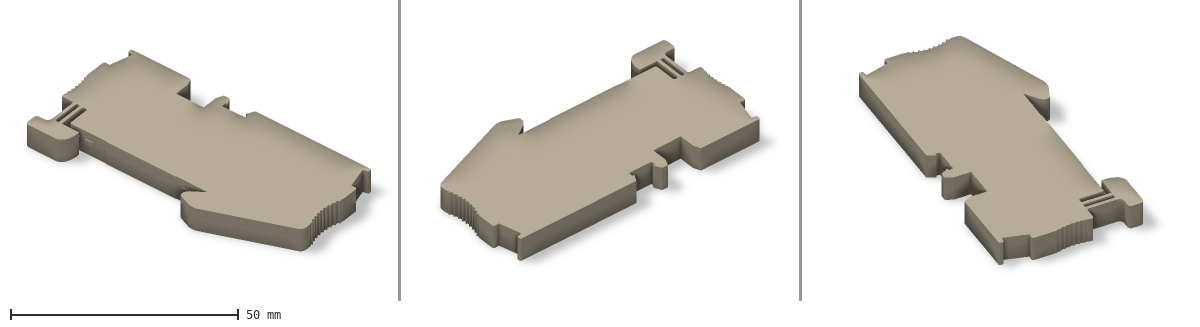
import cadquery as cq
import math

LENGTH = 71.5
HEIGHT = 35.2
THICKNESS = 6.2

LIP_INSET = 1.8
LIP_BOTTOM = 34.0
NECK_INSET = 3.2
NECK_TOP = 33.8
NECK_FOOT_INSET = 1.6
LEDGE_Y = 28.0
LEDGE_DROP = 0.2

WIDE_LEFT = 19.4
WIDE_RIGHT = 27.2
WIDE_FLOOR = 29.1
WIDE_FLARE_Y = 33.3
WIDE_FLARE = 0.8
MARKER_LEFT = 30.0
MARKER_RIGHT = 36.5
MARKER_FLOOR = 32.0
MARKER_LIP_Y = 33.2
MARKER_LIP = 0.6
MARKER_FLARE = 1.0

LEFT_GRIP_TOP = (0.0, 22.1)
LEFT_GRIP_MIDDLE = (0.8, 17.15)
LEFT_GRIP_BOTTOM = (0.3, 13.2)
LEFT_GRIP = (LEFT_GRIP_TOP, LEFT_GRIP_MIDDLE, LEFT_GRIP_BOTTOM)
RIGHT_GRIP_TOP = (LENGTH, 22.95)
RIGHT_GRIP_MIDDLE = (LENGTH - 1.3, 17.15)
RIGHT_GRIP_BOTTOM = (LENGTH, 11.45)
RIGHT_GRIP = (RIGHT_GRIP_TOP, RIGHT_GRIP_MIDDLE, RIGHT_GRIP_BOTTOM)
RIDGE_PITCH = 1.2
RIDGE_CENTRE_Y = 17.2
LEFT_RIDGE_STEPS = range(-2, 4)
RIGHT_RIDGE_STEPS = range(-4, 5)
LEFT_RIDGE_HEIGHT = 0.2
RIGHT_RIDGE_HEIGHT = 0.35
RIDGE_BASE = 0.6
RIDGE_TIP = 0.3
RIDGE_ROOT = 0.2

SHOULDER_Y = 12.5
BODY_LEFT = 7.8
BODY_BOTTOM = 6.2
PAD_LEFT = 18.0
PAD_RIGHT = 38.1
PAD_DEPTH = 0.15
PAD_SLOPE = 0.3

LEG_WIDTH = 0.85
OUTER_LEG_X = 3.8
INNER_LEG_X = 5.65
SLOT_LEFT = OUTER_LEG_X + LEG_WIDTH
INNER_LEG_RIGHT = INNER_LEG_X + LEG_WIDTH
FOOT_LEFT = 0.3
FOOT_RIGHT = 11.45
FOOT_TOP = 5.0
FOOT_HEEL_TOP = 3.85
FOOT_TOE_BEND = (10.8, 1.3)
FOOT_TOE_BULGE = (11.4, 3.0)
FOOT_TOE_BOTTOM = 9.1
FOOT_TOE_CURVE = (10.1, 0.5)

HOOK_ROOT = 46.8
HOOK_NOSE = 42.7
HOOK_NOSE_TOP = 3.0
HOOK_NOSE_BOTTOM = 1.65
HOOK_SHOULDER = (43.5, 3.9)
HOOK_BOTTOM_LEFT = 46.6
HOOK_BOTTOM_RIGHT = 48.25
SLOPE_END_Y = 8.95

CENTRE_WIDTH = 1.65
CENTRE_Z = 2.5
LEFT_PEG_START = 12.1
LEFT_PEG_END = 14.6
RIGHT_PEG_START = 39.55
RIGHT_PEG_END = 43.25
PEG_DEPTH = 0.2
PEG_STEEP = 0.15
PEG_GENTLE = 0.5
WEB_LEFT = 9.1
WEB_RIGHT = 10.9
HOOK_WEB_X = 45.2
HOOK_WEB_Y = 5.4

PICK_REACH = 0.035

LIP_TOP_RADIUS = 0.4
LIP_BOTTOM_RADIUS = 0.3
NECK_RADIUS = 0.2
LEDGE_RADIUS = 0.6
SLOPE_END_RADIUS = 1.6
HOOK_NOSE_RADIUS = 0.7
HOOK_BOTTOM_LEFT_RADIUS = 2.15
HOOK_BOTTOM_RIGHT_RADIUS = 1.15
HEEL_BOTTOM_RADIUS = 1.0
HEEL_TOP_RADIUS = 0.7
HEEL_INNER_RADIUS = 1.15
SHOULDER_RADIUS = 0.6
LEG_ROOT_RADIUS = 0.35
GAP_RADIUS = 0.5
SLOT_RADIUS = 0.2
BODY_CORNER_RADIUS = 0.35


def extrude(points, height=THICKNESS, base=0.0):
    return cq.Workplane("XY", origin=(0, 0, base)).polyline(points).close().extrude(height)


def round_corners(body, corners, radius):
    """Fillet the upright edges standing at the given corners."""
    for x, y in corners:
        low = (x - PICK_REACH, y - PICK_REACH, 0)
        high = (x + PICK_REACH, y + PICK_REACH, THICKNESS)
        box = cq.selectors.BoxSelector(low, high)
        body = body.edges("|Z").edges(box).fillet(radius)
    return body


def make_housing():
    outline = (
        cq.Workplane("XY")
        .moveTo(LIP_INSET, HEIGHT)
        .lineTo(WIDE_LEFT - WIDE_FLARE, HEIGHT)
        .lineTo(WIDE_LEFT, WIDE_FLARE_Y)
        .lineTo(WIDE_LEFT, WIDE_FLOOR)
        .lineTo(WIDE_RIGHT, WIDE_FLOOR)
        .lineTo(WIDE_RIGHT, WIDE_FLARE_Y)
        .lineTo(WIDE_RIGHT + WIDE_FLARE, HEIGHT)
        .lineTo(MARKER_LEFT + MARKER_LIP - MARKER_FLARE, HEIGHT)
        .lineTo(MARKER_LEFT + MARKER_LIP, MARKER_LIP_Y)
        .lineTo(MARKER_LEFT, MARKER_LIP_Y)
        .lineTo(MARKER_LEFT, MARKER_FLOOR)
        .lineTo(MARKER_RIGHT, MARKER_FLOOR)
        .lineTo(MARKER_RIGHT, MARKER_LIP_Y)
        .lineTo(MARKER_RIGHT - MARKER_LIP, MARKER_LIP_Y)
        .lineTo(MARKER_RIGHT - MARKER_LIP + MARKER_FLARE, HEIGHT)
        .lineTo(LENGTH - LIP_INSET, HEIGHT)
        .lineTo(LENGTH - LIP_INSET, LIP_BOTTOM)
        .lineTo(LENGTH - NECK_INSET, NECK_TOP)
        .lineTo(LENGTH - NECK_FOOT_INSET, LEDGE_Y - LEDGE_DROP)
        .lineTo(LENGTH, LEDGE_Y)
        .lineTo(*RIGHT_GRIP_TOP)
        .threePointArc(RIGHT_GRIP_MIDDLE, RIGHT_GRIP_BOTTOM)
        .lineTo(LENGTH, SLOPE_END_Y)
        .lineTo(HOOK_BOTTOM_RIGHT, 0)
        .lineTo(HOOK_BOTTOM_LEFT, 0)
        .lineTo(HOOK_NOSE, HOOK_NOSE_BOTTOM)
        .lineTo(HOOK_NOSE, HOOK_NOSE_TOP)
        .lineTo(*HOOK_SHOULDER)
        .lineTo(HOOK_ROOT, BODY_BOTTOM)
        .lineTo(PAD_RIGHT, BODY_BOTTOM)
        .lineTo(PAD_RIGHT - PAD_SLOPE, BODY_BOTTOM - PAD_DEPTH)
        .lineTo(PAD_LEFT + PAD_SLOPE, BODY_BOTTOM - PAD_DEPTH)
        .lineTo(PAD_LEFT, BODY_BOTTOM)
        .lineTo(BODY_LEFT, BODY_BOTTOM)
        .lineTo(BODY_LEFT, SHOULDER_Y)
        .lineTo(LEFT_GRIP_BOTTOM[0], SHOULDER_Y)
        .lineTo(*LEFT_GRIP_BOTTOM)
        .threePointArc(LEFT_GRIP_MIDDLE, LEFT_GRIP_TOP)
        .lineTo(0, LEDGE_Y)
        .lineTo(NECK_FOOT_INSET, LEDGE_Y - LEDGE_DROP)
        .lineTo(NECK_INSET, NECK_TOP)
        .lineTo(LIP_INSET, LIP_BOTTOM)
        .close()
    )
    return outline.extrude(THICKNESS)


def grip_x(y, top, middle, bottom):
    """X of the circle through three grip points, at height y, on the middle point's side."""
    (ax, ay), (bx, by), (cx, cy) = top, middle, bottom
    denominator = 2 * (ax * (by - cy) + bx * (cy - ay) + cx * (ay - by))
    a2, b2, c2 = ax**2 + ay**2, bx**2 + by**2, cx**2 + cy**2
    ux = (a2 * (by - cy) + b2 * (cy - ay) + c2 * (ay - by)) / denominator
    uy = (a2 * (cx - bx) + b2 * (ax - cx) + c2 * (bx - ax)) / denominator
    radius = math.hypot(ax - ux, ay - uy)
    return ux + math.copysign(math.sqrt(radius**2 - (y - uy) ** 2), bx - ux)


def ridge_y(step):
    return RIDGE_CENTRE_Y + step * RIDGE_PITCH


def make_ridge(y, grip, height):
    outward = math.copysign(1, height)
    x = grip_x(y, *grip)
    root = x - outward * RIDGE_ROOT
    tip = x + height
    return extrude([
        (root, y - RIDGE_BASE / 2),
        (tip, y - RIDGE_TIP / 2),
        (tip, y + RIDGE_TIP / 2),
        (root, y + RIDGE_BASE / 2),
    ])


def make_foot():
    plate = (
        cq.Workplane("XY")
        .moveTo(FOOT_LEFT, 0)
        .lineTo(FOOT_TOE_BOTTOM, 0)
        .threePointArc(FOOT_TOE_CURVE, FOOT_TOE_BEND)
        .threePointArc(FOOT_TOE_BULGE, (FOOT_RIGHT, FOOT_TOP))
        .lineTo(INNER_LEG_RIGHT, FOOT_TOP)
        .lineTo(INNER_LEG_RIGHT, SHOULDER_Y)
        .lineTo(OUTER_LEG_X, SHOULDER_Y)
        .lineTo(OUTER_LEG_X, FOOT_HEEL_TOP)
        .lineTo(FOOT_LEFT, FOOT_HEEL_TOP)
        .close()
        .extrude(THICKNESS)
    )
    slot = extrude([
        (SLOT_LEFT, FOOT_TOP),
        (INNER_LEG_X, FOOT_TOP),
        (INNER_LEG_X, SHOULDER_Y),
        (SLOT_LEFT, SHOULDER_Y),
    ])
    return plate.cut(slot)


def make_peg(left, right, left_slope, right_slope):
    tip_y = BODY_BOTTOM - PEG_DEPTH
    profile = [
        (left, BODY_BOTTOM),
        (left + left_slope, tip_y),
        (right - right_slope, tip_y),
        (right, BODY_BOTTOM),
    ]
    return extrude(profile, CENTRE_WIDTH, CENTRE_Z)


ROUNDED_CORNERS = [
    (LIP_TOP_RADIUS, [(LIP_INSET, HEIGHT), (LENGTH - LIP_INSET, HEIGHT)]),
    (LIP_BOTTOM_RADIUS, [(LIP_INSET, LIP_BOTTOM), (LENGTH - LIP_INSET, LIP_BOTTOM)]),
    (NECK_RADIUS, [(NECK_INSET, NECK_TOP), (LENGTH - NECK_INSET, NECK_TOP)]),
    (LEDGE_RADIUS, [(0, LEDGE_Y), (LENGTH, LEDGE_Y)]),
    (SLOPE_END_RADIUS, [(LENGTH, SLOPE_END_Y)]),
    (HOOK_NOSE_RADIUS, [(HOOK_NOSE, HOOK_NOSE_BOTTOM)]),
    (HOOK_BOTTOM_LEFT_RADIUS, [(HOOK_BOTTOM_LEFT, 0)]),
    (HOOK_BOTTOM_RIGHT_RADIUS, [(HOOK_BOTTOM_RIGHT, 0)]),
    (HEEL_BOTTOM_RADIUS, [(FOOT_LEFT, 0)]),
    (HEEL_TOP_RADIUS, [(FOOT_LEFT, FOOT_HEEL_TOP)]),
    (HEEL_INNER_RADIUS, [(OUTER_LEG_X, FOOT_HEEL_TOP)]),
    (SHOULDER_RADIUS, [(LEFT_GRIP_BOTTOM[0], SHOULDER_Y)]),
    (LEG_ROOT_RADIUS, [(OUTER_LEG_X, SHOULDER_Y)]),
    (GAP_RADIUS, [(BODY_LEFT, SHOULDER_Y), (INNER_LEG_RIGHT, SHOULDER_Y)]),
    (SLOT_RADIUS, [(x, y) for x in (SLOT_LEFT, INNER_LEG_X) for y in (FOOT_TOP, SHOULDER_Y)]),
    (BODY_CORNER_RADIUS, [(BODY_LEFT, BODY_BOTTOM)]),
]

result = make_housing().union(make_foot())
for radius, corners in ROUNDED_CORNERS:
    result = round_corners(result, corners, radius)

for step in LEFT_RIDGE_STEPS:
    result = result.union(make_ridge(ridge_y(step), LEFT_GRIP, -LEFT_RIDGE_HEIGHT))
for step in RIGHT_RIDGE_STEPS:
    result = result.union(make_ridge(ridge_y(step), RIGHT_GRIP, RIGHT_RIDGE_HEIGHT))

result = result.union(make_peg(LEFT_PEG_START, LEFT_PEG_END, PEG_STEEP, PEG_GENTLE))
result = result.union(make_peg(RIGHT_PEG_START, RIGHT_PEG_END, PEG_GENTLE, PEG_STEEP))

foot_web = [(WEB_LEFT, FOOT_TOP), (WEB_RIGHT, FOOT_TOP), (WEB_RIGHT, BODY_BOTTOM), (WEB_LEFT, BODY_BOTTOM)]
hook_web = [(HOOK_WEB_X, BODY_BOTTOM), (HOOK_WEB_X, HOOK_WEB_Y), HOOK_SHOULDER, (HOOK_ROOT, BODY_BOTTOM)]
for profile in (foot_web, hook_web):
    result = result.union(extrude(profile, CENTRE_WIDTH, CENTRE_Z))